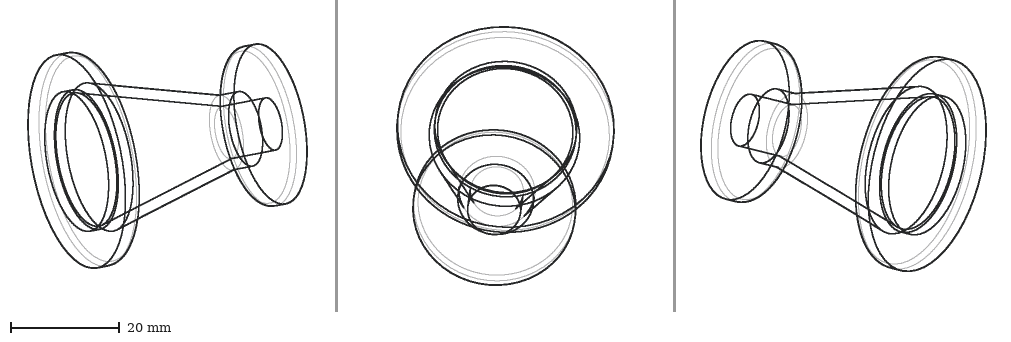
import cadquery as cq
import math


length = 40.0
large_flange_radius = 20.0
small_flange_radius = 15.0
rim_width = 3.0
rim_fillet = 1.0
taper_angle = math.radians(15)
neck_radius = 7.0
neck_length = 4.0
cone_large_radius = 13.9
recess_radius = 13.1
recess_depth = 2.0
bore_radius = 4.9
bore_cone_radius = 12.5

large_face = -length / 2
small_face = length / 2
slope = math.tan(taper_angle)
large_rim_back = large_face + rim_width
cone_start = large_rim_back + (large_flange_radius - cone_large_radius) * slope
small_rim_back = small_face - rim_width
neck_end = small_rim_back - (small_flange_radius - neck_radius) * slope
cone_end = neck_end - neck_length
recess_floor = large_face + recess_depth


def revolve_about_y(points):
    """Revolve a closed (y, radius) outline about the Y axis."""
    return cq.Workplane("YZ").polyline(points).close().revolve(360, (0, 0, 0), (1, 0, 0))


def rim_corner(radius, y):
    """Selector for the circular rim edge of the given radius at station y."""
    margin = 0.1
    reach = radius + margin
    low_corner = (-reach, y - margin, -reach)
    high_corner = (reach, y + margin, reach)
    return cq.selectors.BoxSelector(low_corner, high_corner, boundingbox=True)


def make_body():
    """Solid flanges, neck and cone, with the back rim corners rounded."""
    body = revolve_about_y([
        (large_face, 0),
        (large_face, large_flange_radius),
        (large_rim_back, large_flange_radius),
        (cone_start, cone_large_radius),
        (cone_end, neck_radius),
        (neck_end, neck_radius),
        (small_rim_back, small_flange_radius),
        (small_face, small_flange_radius),
        (small_face, 0),
    ])
    body = body.edges(rim_corner(large_flange_radius, large_rim_back)).fillet(rim_fillet)
    return body.edges(rim_corner(small_flange_radius, small_rim_back)).fillet(rim_fillet)


def make_bore():
    """Recess in the large flange, conical passage, then a straight bore."""
    return revolve_about_y([
        (large_face, 0),
        (large_face, recess_radius),
        (recess_floor, recess_radius),
        (recess_floor, bore_cone_radius),
        (cone_end, bore_radius),
        (small_face, bore_radius),
        (small_face, 0),
    ])


result = make_body().cut(make_bore())